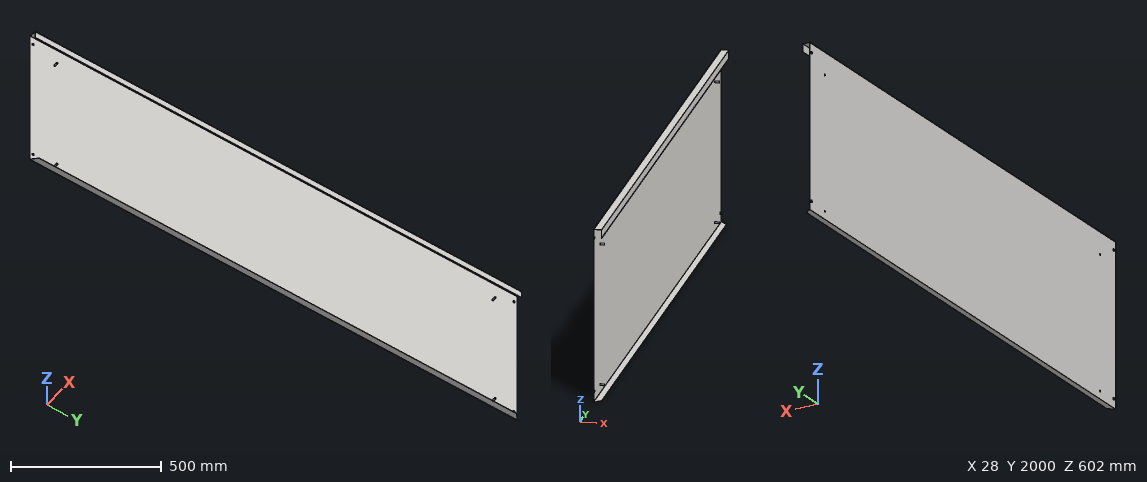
import cadquery as cq

length = 2000.0
height = 602.0
depth = 28.0
sheet = 1.2

top_end_setback = 1.2
lip_drop = 30.0
bottom_flange_width = 25.0
bottom_corner_cut = 20.0

hole_diameter = 8.0
hole_end_offset = 12.0
hole_edge_offset = 35.0

stud_diameter = 5.0
stud_reach = 15.0
stud_end_offset = 100.0
lower_stud_height = 30.0
upper_stud_drop = 82.0


def corner_box(x_size, y_size, z_size, x, y, z):
    """Make a box from its lowest corner."""
    return cq.Workplane("XY").box(x_size, y_size, z_size, centered=False).translate((x, y, z))


def rods_along_x(points, diameter, reach):
    """Make round rods from the outer face inward, centred on (y, z) points."""
    return cq.Workplane("YZ").pushPoints(points).circle(diameter / 2).extrude(reach)


top_length = length - 2 * top_end_setback
face = corner_box(sheet, length, height, 0, 0, 0)
top_flange = corner_box(depth, top_length, sheet, 0, top_end_setback, height - sheet)
lip = corner_box(sheet, top_length, lip_drop, depth - sheet, top_end_setback, height - lip_drop)

bottom_flange = (
    corner_box(bottom_flange_width, length, sheet, 0, 0, 0)
    .edges("|Z and >X")
    .chamfer(bottom_corner_cut)
)

stud_points = [
    (y, z)
    for y in (stud_end_offset, length - stud_end_offset)
    for z in (lower_stud_height, height - upper_stud_drop)
]
studs = rods_along_x(stud_points, stud_diameter, stud_reach)

hole_points = [
    (y, z)
    for y in (hole_end_offset, length - hole_end_offset)
    for z in (hole_edge_offset, height - hole_edge_offset)
]
holes = rods_along_x(hole_points, hole_diameter, sheet)

result = face.union(top_flange).union(lip).union(bottom_flange).union(studs).cut(holes)